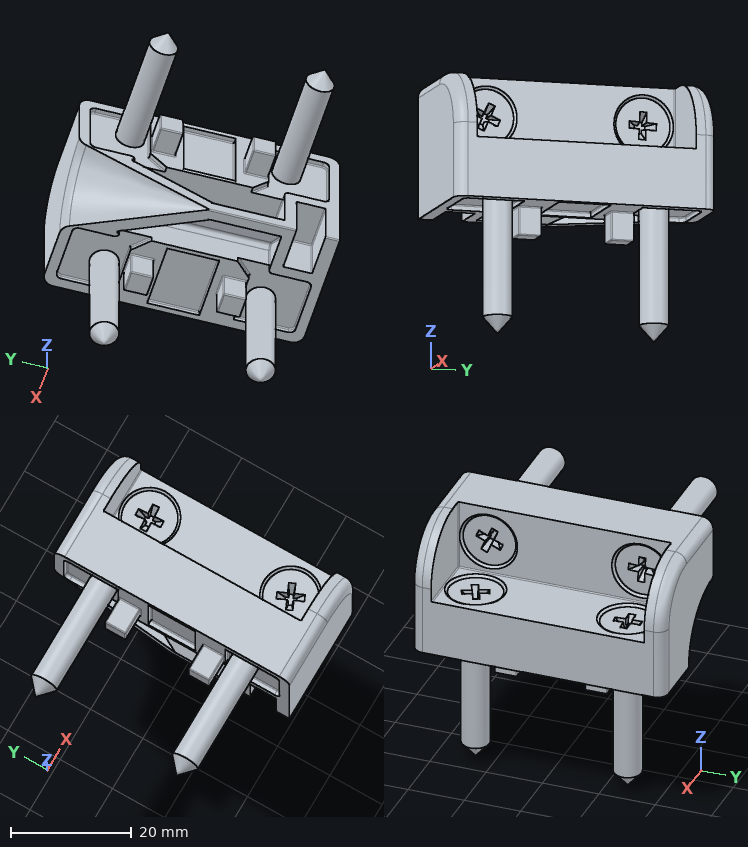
import cadquery as cq
import math


LENGTH = 45.0
SIDE = 22.5
HALF_LENGTH = LENGTH / 2
CORNER_RADIUS = 10.0
EDGE_RADIUS = 2.0
SMALL_RADIUS = 0.2

LEG_THICKNESS = 10.1
POCKET_HALF_LENGTH = 18.9

SCREW_OFFSET = 16.0
SCREW_HALF_SPACING = 13.5
SHANK_RADIUS = 2.48
TIP_REACH = 21.75
TIP_LENGTH = 2.85
COUNTERSINK_RADIUS = 5.15
HEAD_RADIUS = 4.7
HEAD_TOP = LEG_THICKNESS - (COUNTERSINK_RADIUS - HEAD_RADIUS)
HEAD_BOTTOM = HEAD_TOP - (HEAD_RADIUS - SHANK_RADIUS)
CROSS_LENGTH = 4.7
CROSS_WIDTH = 1.15
CROSS_FLOOR_LENGTH = 1.9
CROSS_FLOOR_WIDTH = 0.7
CROSS_DEPTH = 2.0
SCREW_TURNS = {SCREW_HALF_SPACING: 3.0, -SCREW_HALF_SPACING: 24.0}

RECESS_DEPTH = 1.0
RECESS_OUTER = 20.6
RECESS_INNER = 10.2
RECESS_LEDGE = 9.75
RECESS_BEND = 11.7
RECESS_CORNER_RADIUS = 1.0
LEDGE_END = 12.95
LEDGE_RADIUS = 0.7
PANEL_WIDTH = 9.0
PANEL_BOTTOM = 9.68
PANEL_TOP = 21.4

WINDOW_TOP = 8.9
WINDOW_BOTTOM = 2.0
WINDOW_BEND = -0.68
WINDOW_SLOPE = 0.47
WINDOW_BACK_RADIUS = 0.75
WINDOW_OVERLAP = 0.25

PEG_SIZE = 4.0
PEG_REACH = 4.9
PEG_OFFSET = 14.5
PEG_HALF_SPACING = 8.0
PEG_ROOT_MARGIN = 0.45

NOTCH_SIZE = 7.88
NOTCH_START = -20.0
NOTCH_END = -15.0
CONE_SLOPE = 0.46
CONE_RIM_RADIUS = 2.0


def mirrored(shape):
    """Reflect a shape in the plane X = Z."""
    return shape.mirror("YZ").rotate((0, 0, 0), (0, 1, 0), 90)


def box_between(low, high):
    size = [b - a for a, b in zip(low, high)]
    return cq.Workplane("XY").box(*size, centered=False).translate(low)


def make_block():
    block = box_between((0, -HALF_LENGTH, 0), (SIDE, HALF_LENGTH, SIDE))
    block = block.edges(">X and >Z").fillet(CORNER_RADIUS)
    block = block.faces("<Y or >Y").edges("not (<X or <Z)").fillet(EDGE_RADIUS)
    return block.edges("<X and <Z").fillet(SMALL_RADIUS)


def make_pocket_cutter():
    cutter = box_between(
        (LEG_THICKNESS, -POCKET_HALF_LENGTH, LEG_THICKNESS),
        (SIDE, POCKET_HALF_LENGTH, SIDE),
    )
    return cutter.faces("<X or <Z").edges("not (>X or >Z)").fillet(SMALL_RADIUS)


def make_notch_cutter():
    cutter = box_between((0, NOTCH_START, 0), (NOTCH_SIZE, NOTCH_END, NOTCH_SIZE))
    return cutter.faces(">X or >Z").edges("not (<X or <Z)").fillet(SMALL_RADIUS)


def make_cone_cutter():
    """Cone about the Y axis, apex at the origin, that flares in a tangent round into the +Y end face."""
    angle = math.atan(CONE_SLOPE)
    center_y = HALF_LENGTH - CONE_RIM_RADIUS
    center_r = CONE_SLOPE * center_y + CONE_RIM_RADIUS / math.cos(angle)

    def rim_point(direction):
        return (
            center_r + CONE_RIM_RADIUS * math.sin(direction),
            center_y + CONE_RIM_RADIUS * math.cos(direction),
        )

    start = angle - math.pi / 2
    return (
        cq.Workplane("XY")
        .moveTo(0, 0)
        .lineTo(*rim_point(start))
        .threePointArc(rim_point(start / 2), rim_point(0))
        .lineTo(0, HALF_LENGTH)
        .close()
        .revolve(360, (0, 0, 0), (0, 1, 0))
    )


def make_recess_cutter():
    """Recess around the +Y screw, open below into the window."""
    low = WINDOW_TOP - WINDOW_OVERLAP
    outline = [
        (RECESS_OUTER, RECESS_OUTER),
        (RECESS_INNER, RECESS_OUTER),
        (RECESS_INNER, RECESS_BEND),
        (RECESS_INNER - (RECESS_BEND - low), low),
        (LEDGE_END, low),
        (LEDGE_END, RECESS_LEDGE),
        (RECESS_OUTER, RECESS_LEDGE),
    ]
    cutter = cq.Workplane("YZ").polyline(outline).close().extrude(RECESS_DEPTH)
    cutter = cutter.edges("|X and >Y").fillet(RECESS_CORNER_RADIUS)
    ledge_corner = cq.selectors.NearestToPointSelector((RECESS_DEPTH / 2, LEDGE_END, RECESS_LEDGE))
    cutter = cutter.edges(ledge_corner).fillet(LEDGE_RADIUS)
    return cutter.faces(">X").edges("not <Z").fillet(SMALL_RADIUS)


def make_panel_cutter():
    """Central rectangular recess between the pegs."""
    cutter = box_between(
        (0, -PANEL_WIDTH / 2, PANEL_BOTTOM),
        (RECESS_DEPTH, PANEL_WIDTH / 2, PANEL_TOP),
    )
    return cutter.faces(">X").edges().fillet(SMALL_RADIUS)


def make_window_cutter():
    """Pocket with a 45 degree floor and one slanted end wall on the +Y side."""
    depth = WINDOW_TOP - WINDOW_BOTTOM
    wedge = (
        cq.Workplane("XZ")
        .polyline([(0, WINDOW_BOTTOM), (depth, WINDOW_TOP), (0, WINDOW_TOP)])
        .close()
        .extrude(HALF_LENGTH, both=True)
        .edges(">X")
        .fillet(WINDOW_BACK_RADIUS)
    )
    outline = [
        (-LEDGE_END, WINDOW_TOP),
        (-LEDGE_END, WINDOW_BOTTOM),
        (WINDOW_BEND, WINDOW_BOTTOM),
        (WINDOW_BEND + depth / WINDOW_SLOPE, WINDOW_TOP),
    ]
    prism = cq.Workplane("YZ").polyline(outline).close().extrude(depth)
    prism = prism.edges("|X and >Y").fillet(SMALL_RADIUS)
    return wedge.intersect(prism).faces("<Y").edges("not <X").fillet(SMALL_RADIUS)


def make_peg(y):
    """Peg standing out of the face X = 0, filleted at its foot onto a root block in the housing."""
    half = PEG_SIZE / 2
    peg = box_between(
        (-PEG_REACH, y - half, PEG_OFFSET - half),
        (0, y + half, PEG_OFFSET + half),
    )
    peg = peg.edges("not >X").fillet(SMALL_RADIUS)

    root_half = half + PEG_ROOT_MARGIN
    root = box_between(
        (0, y - root_half, PEG_OFFSET - root_half),
        (RECESS_DEPTH, y + root_half, PEG_OFFSET + root_half),
    )
    foot_zone = cq.selectors.BoxSelector(
        (-SMALL_RADIUS / 2, y - half - SMALL_RADIUS, PEG_OFFSET - half - SMALL_RADIUS),
        (SMALL_RADIUS / 2, y + half + SMALL_RADIUS, PEG_OFFSET + half + SMALL_RADIUS),
    )
    return peg.union(root).edges(foot_zone).fillet(SMALL_RADIUS)


def make_screw_hole(y):
    """Cutter for one vertical screw: shank hole and countersink through the lower leg."""
    profile = [
        (0, 0),
        (SHANK_RADIUS, 0),
        (SHANK_RADIUS, HEAD_BOTTOM),
        (COUNTERSINK_RADIUS, LEG_THICKNESS),
        (0, LEG_THICKNESS),
    ]
    hole = cq.Workplane("XZ").polyline(profile).close().revolve(360, (0, 0, 0), (0, 1, 0))
    return hole.translate((SCREW_OFFSET, y, 0))


def make_housing():
    housing = make_block()
    housing = housing.cut(make_pocket_cutter())
    housing = housing.cut(make_notch_cutter())
    housing = housing.cut(make_cone_cutter())

    for y in (-PEG_HALF_SPACING, PEG_HALF_SPACING):
        peg = make_peg(y)
        housing = housing.union(peg).union(mirrored(peg))

    recess = make_recess_cutter()
    face_cutters = [recess, recess.mirror("XZ"), make_panel_cutter(), make_window_cutter()]
    for cutter in face_cutters:
        housing = housing.cut(cutter).cut(mirrored(cutter))

    for y in (-SCREW_HALF_SPACING, SCREW_HALF_SPACING):
        hole = make_screw_hole(y)
        housing = housing.cut(hole).cut(mirrored(hole))
    return housing


def make_cross_cutter():
    """Cross recess of two crossed slots that narrow towards the floor."""
    slot = (
        cq.Workplane("XY", origin=(0, 0, HEAD_TOP))
        .rect(CROSS_LENGTH, CROSS_WIDTH)
        .workplane(offset=-CROSS_DEPTH)
        .rect(CROSS_FLOOR_LENGTH, CROSS_FLOOR_WIDTH)
        .loft(ruled=True)
    )
    return slot.union(slot.rotate((0, 0, 0), (0, 0, 1), 90))


def make_screw(y, turn):
    """Vertical countersunk screw with a pointed tip, its cross recess turned about the axis."""
    profile = [
        (0, -TIP_REACH),
        (SHANK_RADIUS, TIP_LENGTH - TIP_REACH),
        (SHANK_RADIUS, HEAD_BOTTOM),
        (HEAD_RADIUS, HEAD_TOP),
        (0, HEAD_TOP),
    ]
    screw = cq.Workplane("XZ").polyline(profile).close().revolve(360, (0, 0, 0), (0, 1, 0))
    screw = screw.cut(make_cross_cutter().rotate((0, 0, 0), (0, 0, 1), turn))
    return screw.translate((SCREW_OFFSET, y, 0))


housing = make_housing()
screws = []
for screw_y, screw_turn in SCREW_TURNS.items():
    vertical_screw = make_screw(screw_y, screw_turn)
    screws.append(vertical_screw.val())
    screws.append(mirrored(vertical_screw).val())

result = cq.Compound.makeCompound([housing.val(), *screws])